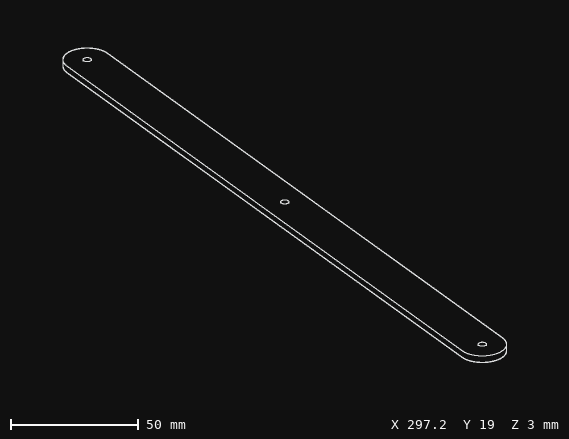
import cadquery as cq

length = 297.2
width = 19.0
thickness = 3.0
hole_diameter = 3.3
end_radius = width / 2

end_hole_x = length / 2 - end_radius
hole_centers = [(-end_hole_x, 0), (0, 0), (end_hole_x, 0)]

bar = cq.Workplane("XY").slot2D(length, width).extrude(thickness)
holes = cq.Workplane("XY").pushPoints(hole_centers).circle(hole_diameter / 2).extrude(thickness)

result = bar.cut(holes)